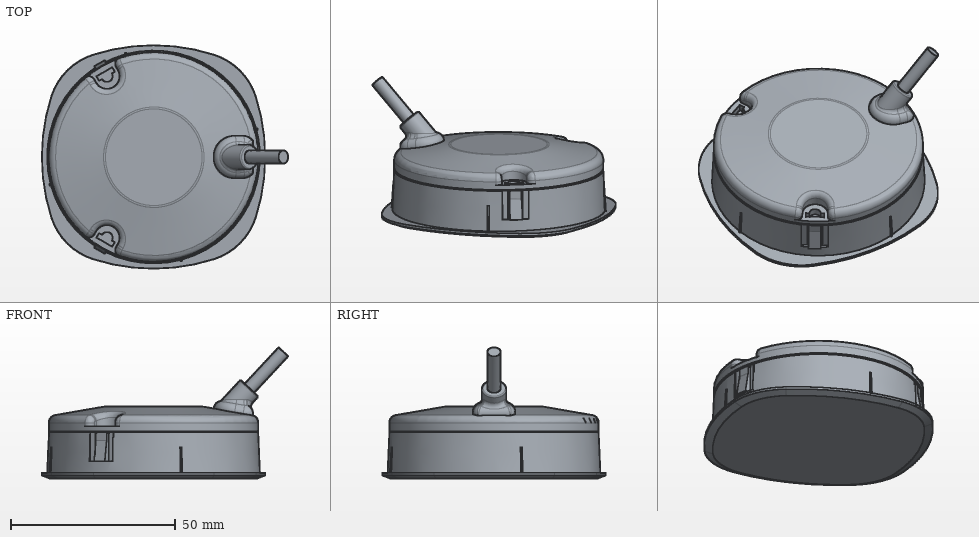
import cadquery as cq
import math

overall_length = 75

plate_half = 68.0 / 2
plate_side_radius = 60.0
plate_corner_radius = 19.8
plate_top_z = 1.7
plate_edge = 0.75
plate_bevel_width = 2.6

housing_bottom_radius = 32.4
housing_top_radius = 31.9
housing_top_z = 14.1
groove_height = 0.4
groove_depth = 0.2
cap_radius = 31.9
cap_band_top_z = 17.0
cap_rim_radius = 2.4
cone_angle = 9.8
crown_radius = 15.0
crown_blend = 0.3

fastener_angles = (120, 240)
pocket_distance = 28.35
pocket_radius = 3.8
pocket_floor_z = 16.0
pocket_flare = 1.9
recess_length = 5.55
recess_width = 1.6
recess_radius = 1.7
recess_depth = 2.25
edge_margin = 0.15

clip_bottom_z = 5.25
clip_wedge_top_z = 11.6
clip_top_z = 13.8
clip_half_width = 1.9
clip_gap = 0.45
clip_half_span = 4.05
clip_pad_distance = 31.35
clip_inner_distance = 30.45
clip_face_distance = 31.8
clip_tip_distance = 32.9

rib_angles = (15, 105, 195, 285)
rib_width = 0.5
rib_outer_radius = 32.8
rib_top_radius = 32.25
rib_inner_radius = 31.5
rib_top_z = 9.6

cable_angle = 47.0
cable_radius = 2.0
cable_tip_x = overall_length - plate_half
cable_tip_z = 40.0
collar_radius = 3.75
collar_rounding = 0.4
collar_length = 9.0
collar_to_cable_tip = 15.15
boot_radius = 6.45
boot_near_x = 24.6
boot_straight = 2.6
boot_length = 5.7
boot_end_half_width = 4.9
boot_height = 2.7
boot_sink = 2.25
boot_rounding = 2.55
boot_collar_blend = 1.5
seam_clearance = 0.5

slope = math.radians(cone_angle)
rim_centre_r = cap_radius - cap_rim_radius
rim_end_r = rim_centre_r + cap_rim_radius * math.sin(slope)
rim_end_z = cap_band_top_z + cap_rim_radius * math.cos(slope)
crown_z = rim_end_z + (rim_end_r - crown_radius) * math.tan(slope)


def cone_z(radius):
    return rim_end_z + (rim_end_r - radius) * math.tan(slope)


def quarter_turned(x, y, turns):
    for _ in range(turns):
        x, y = y, -x
    return (x, y)


def make_plate():
    side_centre = plate_side_radius - plate_half
    reach = plate_side_radius - plate_corner_radius
    corner_centre = (math.sqrt(2 * reach**2 - side_centre**2) - side_centre) / 2
    along = corner_centre * plate_side_radius / reach
    across = (corner_centre + side_centre) * plate_side_radius / reach - side_centre
    diagonal = corner_centre + plate_corner_radius / math.sqrt(2)
    outline = cq.Workplane("XY").moveTo(-along, across)
    for turn in range(4):
        outline = outline.threePointArc(
            quarter_turned(0, plate_half, turn), quarter_turned(along, across, turn)
        )
        outline = outline.threePointArc(
            quarter_turned(diagonal, diagonal, turn), quarter_turned(across, along, turn)
        )
    plate = outline.close().extrude(plate_top_z)
    return plate.faces("<Z").chamfer(plate_top_z - plate_edge, plate_bevel_width)


def make_housing():
    middle = math.radians(45) + slope / 2
    rim_middle = (
        rim_centre_r + cap_rim_radius * math.cos(middle),
        cap_band_top_z + cap_rim_radius * math.sin(middle),
    )
    blend_r = crown_radius + crown_blend * math.cos(slope)
    groove_top_z = housing_top_z + groove_height
    return (
        cq.Workplane("XZ")
        .moveTo(0, plate_top_z / 2)
        .lineTo(housing_bottom_radius, plate_top_z / 2)
        .lineTo(housing_bottom_radius, plate_top_z)
        .lineTo(housing_top_radius, housing_top_z)
        .lineTo(cap_radius - groove_depth, housing_top_z)
        .lineTo(cap_radius - groove_depth, groove_top_z)
        .lineTo(cap_radius, groove_top_z)
        .lineTo(cap_radius, cap_band_top_z)
        .threePointArc(rim_middle, (rim_end_r, rim_end_z))
        .lineTo(blend_r, cone_z(blend_r))
        .tangentArcPoint((crown_radius - crown_blend, crown_z), relative=False)
        .lineTo(0, crown_z)
        .close()
        .revolve(360, (0, 0, 0), (0, 1, 0))
    )


def make_pocket_cutter():
    outward = cap_radius
    height = crown_z - pocket_floor_z
    bore = cq.Workplane("XY").center(pocket_distance, 0).circle(pocket_radius).extrude(height)
    exit_slot = (
        cq.Workplane("XY")
        .center(pocket_distance + outward / 2, 0)
        .rect(outward, 2 * pocket_radius)
        .extrude(height)
    )
    return bore.union(exit_slot).translate((0, 0, pocket_floor_z))


def make_recess_cutter():
    screw = cq.Workplane("XY").center(pocket_distance, 0).circle(recess_radius).extrude(recess_depth)
    nut = (
        cq.Workplane("XY")
        .center(pocket_distance + recess_width / 2, 0)
        .rect(recess_width, recess_length)
        .extrude(recess_depth)
    )
    beyond = (
        cq.Workplane("XY")
        .center(pocket_distance + recess_width + recess_radius, 0)
        .rect(2 * recess_radius, recess_length)
        .extrude(recess_depth)
    )
    return screw.union(nut).cut(beyond).translate((0, 0, pocket_floor_z - recess_depth))


def around_axis(shape, angle):
    return shape.rotate((0, 0, 0), (0, 0, 1), angle)


def cut_pocket(shape, angle):
    shape = around_axis(shape, -angle).cut(make_pocket_cutter())
    reach_y = pocket_radius + edge_margin
    inner_end = cq.selectors.BoxSelector(
        (0, -reach_y, pocket_floor_z + edge_margin),
        (pocket_distance - pocket_radius / 2, reach_y, crown_z),
    )
    flanks = cq.selectors.BoxSelector(
        (pocket_distance + edge_margin, -reach_y, cap_band_top_z), (cap_radius, reach_y, crown_z)
    )
    shape = shape.edges(inner_end + flanks).fillet(pocket_flare)
    return around_axis(shape.cut(make_recess_cutter()), angle)


def make_clip_window():
    def pocket(floor_distance, half_width, top_z):
        depth = housing_bottom_radius - floor_distance
        return (
            cq.Workplane("XY", origin=(floor_distance + depth / 2, 0, clip_bottom_z))
            .rect(depth, 2 * half_width)
            .extrude(top_z - clip_bottom_z)
        )

    shallow = pocket(clip_pad_distance, clip_half_span, housing_top_z)
    deep = pocket(clip_inner_distance, clip_half_width + clip_gap, clip_top_z)
    return shallow.union(deep)


def make_clip_tongue():
    return (
        cq.Workplane("XZ", origin=(0, clip_half_width, 0))
        .moveTo(clip_inner_distance, clip_bottom_z)
        .lineTo(clip_tip_distance, clip_bottom_z)
        .lineTo(clip_face_distance, clip_wedge_top_z)
        .lineTo(clip_face_distance, housing_top_z)
        .lineTo(clip_inner_distance, housing_top_z)
        .close()
        .extrude(2 * clip_half_width)
    )


def make_rib():
    return (
        cq.Workplane("XZ", origin=(0, rib_width / 2, 0))
        .moveTo(rib_inner_radius, plate_top_z)
        .lineTo(rib_outer_radius, plate_top_z)
        .lineTo(rib_top_radius, rib_top_z)
        .lineTo(rib_inner_radius, rib_top_z)
        .close()
        .extrude(rib_width)
    )


def make_cable_entry():
    boot_plane = cq.Plane(
        origin=(boot_near_x, 0, cone_z(boot_near_x)),
        xDir=(math.cos(slope), 0, -math.sin(slope)),
        normal=(math.sin(slope), 0, math.cos(slope)),
    )
    boot = (
        cq.Workplane(boot_plane)
        .workplane(offset=-boot_sink)
        .moveTo(-boot_radius, 0)
        .radiusArc((0, boot_radius), boot_radius)
        .lineTo(boot_straight, boot_radius)
        .tangentArcPoint((boot_length, boot_end_half_width), relative=False)
        .lineTo(boot_length, 0)
        .mirrorX()
        .extrude(boot_sink + boot_height)
        .faces(cq.selectors.DirectionMinMaxSelector(boot_plane.zDir, True))
        .edges()
        .fillet(boot_rounding)
    )

    rise = math.radians(cable_angle)
    along = cq.Vector(math.cos(rise), 0, math.sin(rise))
    tip = cq.Vector(
        cable_tip_x - cable_radius * math.sin(rise), 0, cable_tip_z - cable_radius * math.cos(rise)
    )

    def rod(radius, distance_from_tip, length):
        start = tip - along * distance_from_tip
        plane = cq.Plane(origin=start.toTuple(), xDir=(0, 1, 0), normal=along.toTuple())
        return cq.Workplane(plane).circle(radius).extrude(length)

    collar = rod(collar_radius, collar_to_cable_tip + collar_length, collar_length)
    collar = collar.faces(cq.selectors.DirectionMinMaxSelector(along, True)).edges().fillet(collar_rounding)
    holder = boot.union(collar)
    seam = holder.edges("not (%LINE or %CIRCLE)").filter(
        lambda edge: edge.Center().z > cone_z(edge.Center().x) + seam_clearance
    )
    holder = seam.fillet(boot_collar_blend)
    cable_length = collar_to_cable_tip + collar_length / 2
    return holder.union(rod(cable_radius, cable_length, cable_length))


body = make_housing()
for angle in fastener_angles:
    body = cut_pocket(body, angle)
    body = body.cut(around_axis(make_clip_window(), angle))
    body = body.union(around_axis(make_clip_tongue(), angle))
for angle in rib_angles:
    body = body.union(around_axis(make_rib(), angle))
result = body.union(make_plate()).union(make_cable_entry())